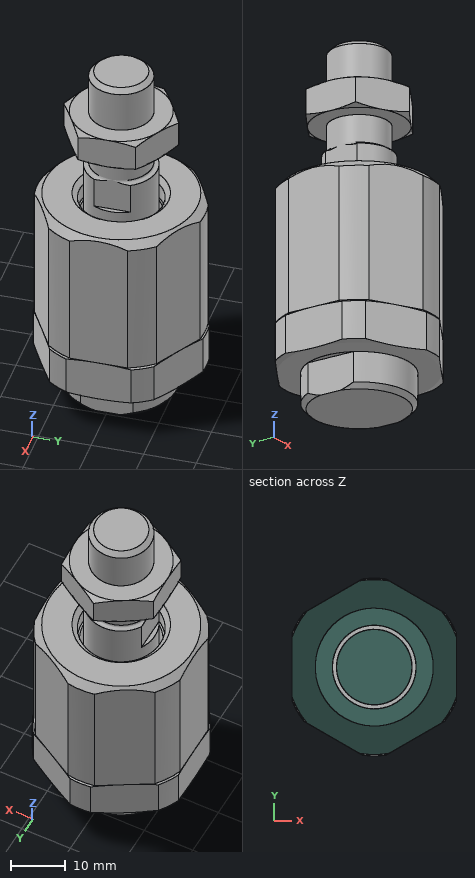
import cadquery as cq
import math

total_height = 70.5
lock_nut_bottom_z = 7.0
lock_nut_top_z = 15.1
plug_top_z = 25.0
housing_top_z = 43.0
guide_ring_top_z = 39.0
wrench_flat_bottom_z = 43.6
collar_top_z = 49.55
jam_nut_bottom_z = 55.55
jam_nut_thickness = 6.0

thread_diameter = 12.0
thread_tip_diameter = 10.1
collar_diameter = 13.8
collar_fillet_radius = 0.55

jam_nut_across_flats = 18.95

body_across_flats = 30.0
housing_corner_diameter = 32.0
lock_nut_corner_diameter = 32.5
housing_top_bevel = 1.5
bore_diameter = 16.0
bore_mouth_diameter = 18.0
guide_ring_bore_diameter = 15.2
plug_diameter = 21.4
plug_across_flats = jam_nut_across_flats
plug_bevel = 1.0

lock_nut_bevel_angle = 15.0
jam_nut_bevel_angle = 20.0

hex_half_sector = math.radians(30)


def cylinder(diameter, bottom_z, top_z):
    return cq.Workplane("XY", origin=(0, 0, bottom_z)).circle(diameter / 2).extrude(top_z - bottom_z)


def hexagon(across_flats, bottom_z, top_z):
    """Hexagonal prism with two of its flats facing +X and -X."""
    corner_diameter = across_flats / math.cos(hex_half_sector)
    prism = cq.Workplane("XY", origin=(0, 0, bottom_z)).polygon(6, corner_diameter).extrude(top_z - bottom_z)
    return prism.rotate((0, 0, 0), (0, 0, 1), math.degrees(hex_half_sector))


def turned(points):
    """Solid of revolution about Z from (radius, z) points."""
    return cq.Workplane("XZ").polyline(points).close().revolve(360, (0, 0, 0), (0, 1, 0))


def bevelled_blank(diameter, bottom_z, top_z, bottom_bevel=(0, 0), top_bevel=(0, 0)):
    """Round blank whose ends are bevelled; each bevel is (radial width, height)."""
    radius = diameter / 2
    bottom_width, bottom_height = bottom_bevel
    top_width, top_height = top_bevel
    points = [(0, bottom_z), (radius - bottom_width, bottom_z)]
    if bottom_height > 0:
        points.append((radius, bottom_z + bottom_height))
    if top_height > 0:
        points.append((radius, top_z - top_height))
    points += [(radius - top_width, top_z), (0, top_z)]
    return turned(points)


def hex_bevel(corner_diameter, across_flats, angle):
    """Bevel that starts on the circle touching the flats and falls towards the corners."""
    width = (corner_diameter - across_flats) / 2
    return width, width * math.tan(math.radians(angle))


def collar_fillet():
    """Concave fillet between the thread and the top of the collar."""
    radius = thread_diameter / 2
    arc_middle = collar_fillet_radius * (1 - math.sqrt(0.5))
    profile = (
        cq.Workplane("XZ")
        .moveTo(0, collar_top_z)
        .lineTo(radius + collar_fillet_radius, collar_top_z)
        .threePointArc(
            (radius + arc_middle, collar_top_z + arc_middle),
            (radius, collar_top_z + collar_fillet_radius),
        )
        .lineTo(0, collar_top_z + collar_fillet_radius)
        .close()
    )
    return profile.revolve(360, (0, 0, 0), (0, 1, 0))


def wrench_flat_cuts():
    """Material outside the two collar flats, which are tangent to the thread."""
    height = collar_top_z + collar_fillet_radius - wrench_flat_bottom_z
    plane = cq.Workplane("XY", origin=(0, 0, wrench_flat_bottom_z))
    around = plane.rect(2 * collar_diameter, 2 * collar_diameter).extrude(height)
    between_flats = plane.rect(thread_diameter, 2 * collar_diameter).extrude(height)
    return around.cut(between_flats)


def make_stud():
    tip_bevel = (thread_diameter - thread_tip_diameter) / 2
    thread = bevelled_blank(thread_diameter, collar_top_z, total_height, top_bevel=(tip_bevel, tip_bevel))
    shank = cylinder(collar_diameter, plug_top_z, collar_top_z)
    return shank.union(thread).union(collar_fillet()).cut(wrench_flat_cuts())


def make_jam_nut():
    top_z = jam_nut_bottom_z + jam_nut_thickness
    corner_diameter = jam_nut_across_flats / math.cos(hex_half_sector)
    bevel = hex_bevel(corner_diameter, jam_nut_across_flats, jam_nut_bevel_angle)
    blank = bevelled_blank(corner_diameter, jam_nut_bottom_z, top_z, bevel, bevel)
    nut = blank.intersect(hexagon(jam_nut_across_flats, jam_nut_bottom_z, top_z))
    return nut.cut(cylinder(thread_diameter, jam_nut_bottom_z, top_z))


def make_housing():
    top_bevel = (housing_top_bevel, housing_top_bevel)
    blank = bevelled_blank(housing_corner_diameter, lock_nut_top_z, housing_top_z, top_bevel=top_bevel)
    housing = blank.intersect(hexagon(body_across_flats, lock_nut_top_z, housing_top_z))
    mouth_bevel = (bore_mouth_diameter - bore_diameter) / 2
    mouth = turned([
        (0, housing_top_z),
        (bore_mouth_diameter / 2, housing_top_z),
        (bore_diameter / 2, housing_top_z - mouth_bevel),
        (0, housing_top_z - mouth_bevel),
    ])
    bore = cylinder(bore_diameter, guide_ring_top_z, housing_top_z)
    socket = cylinder(plug_diameter, lock_nut_top_z, guide_ring_top_z)
    return housing.cut(mouth).cut(bore).cut(socket)


def make_guide_ring():
    """Ring that fills the housing socket above the plug, with clearance around the stud."""
    ring = cylinder(plug_diameter, plug_top_z, guide_ring_top_z)
    return ring.cut(cylinder(guide_ring_bore_diameter, plug_top_z, guide_ring_top_z))


def make_lock_nut():
    bevel = hex_bevel(lock_nut_corner_diameter, body_across_flats, lock_nut_bevel_angle)
    blank = bevelled_blank(lock_nut_corner_diameter, lock_nut_bottom_z, lock_nut_top_z, bevel, bevel)
    nut = blank.intersect(hexagon(body_across_flats, lock_nut_bottom_z, lock_nut_top_z))
    return nut.cut(cylinder(plug_diameter, lock_nut_bottom_z, lock_nut_top_z))


def make_plug():
    wrench_end = bevelled_blank(plug_diameter, 0, lock_nut_bottom_z, bottom_bevel=(plug_bevel, plug_bevel))
    between_flats = cq.Workplane("XY").rect(plug_across_flats, 2 * plug_diameter).extrude(lock_nut_bottom_z)
    shank = cylinder(plug_diameter, lock_nut_bottom_z, plug_top_z)
    return wrench_end.intersect(between_flats).union(shank)


stud = make_stud()
jam_nut = make_jam_nut()
housing = make_housing()
guide_ring = make_guide_ring()
lock_nut = make_lock_nut()
plug = make_plug()

result = cq.Compound.makeCompound([
    stud.val(),
    jam_nut.val(),
    housing.val(),
    guide_ring.val(),
    lock_nut.val(),
    plug.val(),
])